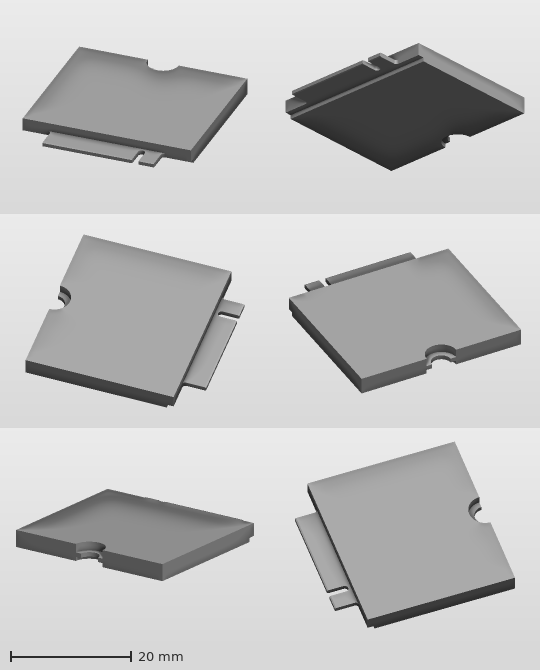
import cadquery as cq

width = 30.0
length = 30.0
height = 3.0

bottom_thickness = 0.72
board_thickness = 0.78
cover_thickness = height - bottom_thickness - board_thickness

tab_length = 4.0
tab_width = 19.85
tab_root_radius = 0.5
tab_chamfer_depth = 0.1
tab_chamfer_length = 0.25

slot_width = 1.2
slot_length = 3.5
slot_center_x = 6.63

bottom_setback = 1.2

screw_radius = 1.75
clearance_radius = 2.75

back_y = length / 2
front_y = -length / 2
shoulder_y = front_y + tab_length
board_z = bottom_thickness
cover_z = board_z + board_thickness


def notched_plate(plate_front_y, base_z, thickness, notch_radius):
    """Full-width plate reaching the +Y edge, with a half-round notch there."""
    plate_length = back_y - plate_front_y
    plate = (
        cq.Workplane("XY", origin=(0, back_y - plate_length / 2, base_z))
        .rect(width, plate_length)
        .extrude(thickness)
    )
    notch = (
        cq.Workplane("XY", origin=(0, back_y, base_z))
        .circle(notch_radius)
        .extrude(thickness)
    )
    return plate.cut(notch)


def connector_tab():
    """Tab with chamfered insertion edges, flared into the shoulder by concave arcs."""
    half_width = tab_width / 2
    root_half_width = half_width + tab_root_radius
    root_y = shoulder_y - tab_root_radius
    arc_mid_offset = tab_root_radius * (1 - 0.5 ** 0.5)
    arc_x = half_width + arc_mid_offset
    arc_y = shoulder_y - arc_mid_offset
    tab = (
        cq.Workplane("XY", origin=(0, 0, board_z))
        .moveTo(-half_width, front_y)
        .lineTo(half_width, front_y)
        .lineTo(half_width, root_y)
        .threePointArc((arc_x, arc_y), (root_half_width, shoulder_y))
        .lineTo(-root_half_width, shoulder_y)
        .threePointArc((-arc_x, arc_y), (-half_width, root_y))
        .close()
        .extrude(board_thickness)
    )
    insertion_edges = tab.faces("<Y").edges("|X")
    return insertion_edges.chamfer(tab_chamfer_depth, tab_chamfer_length)


def key_slot():
    """Cutter for the round-ended slot, open at the tab's insertion edge."""
    slot_radius = slot_width / 2
    straight_length = slot_length - slot_radius
    return (
        cq.Workplane("XY", origin=(slot_center_x, front_y, board_z))
        .moveTo(-slot_radius, 0)
        .lineTo(slot_radius, 0)
        .lineTo(slot_radius, straight_length)
        .threePointArc((0, slot_length), (-slot_radius, straight_length))
        .close()
        .extrude(board_thickness)
    )


def make_board():
    """Circuit board with its screw notch and keyed connector tab."""
    plate = notched_plate(shoulder_y, board_z, board_thickness, screw_radius)
    return plate.union(connector_tab()).cut(key_slot())


def make_cover():
    """Thick layer on top of the board, flush with the board shoulder."""
    return notched_plate(shoulder_y, cover_z, cover_thickness, clearance_radius)


def make_bottom_layer():
    """Thin layer under the board."""
    return notched_plate(shoulder_y + bottom_setback, 0, bottom_thickness, clearance_radius)


board = make_board()
cover = make_cover()
bottom_layer = make_bottom_layer()

result = cq.Compound.makeCompound([board.val(), cover.val(), bottom_layer.val()])